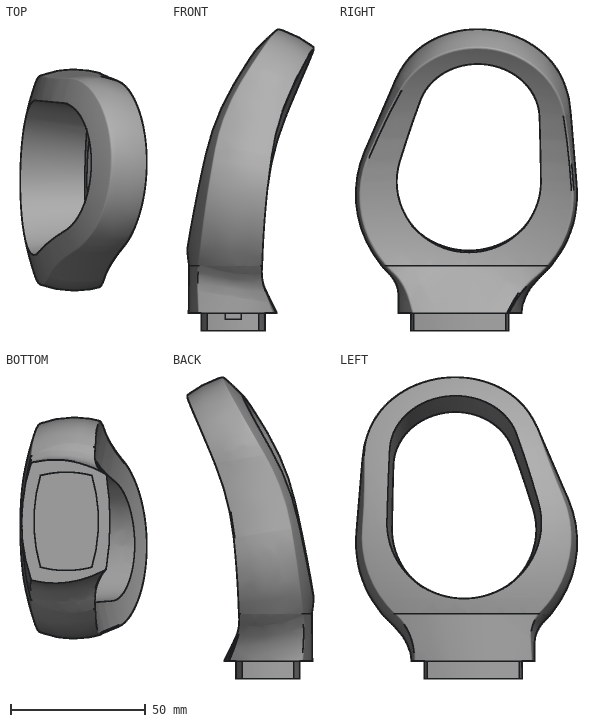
import cadquery as cq
import math


CROWN_Y, CROWN_Z, CROWN_R = 7.2, 73.8, 34.2
BELLY_Y, BELLY_Z, BELLY_R = 2.5, 44.7, 41.2
NECK_HALF_WIDTH = 22.9
PLUS_Y_NECK_R = 20.8
MINUS_Y_NECK_R = 12.1
NECK_OVERRUN = 18.0

RIM_ARC_R = 33.7
RIM_TILT = 9.5
RIM_BASE_X = -4.5
RIM_OFFSETS = (-19.1, -9.5, 0.0, 12.4, 24.7)
RIM_FILLET = 0.7

FRONT_R, FRONT_X, FRONT_Z, FRONT_DISH_R = 96.8, 79.3, 31.9, 110.9
BACK_R, BACK_X, BACK_Z, BACK_DISH_R = 99.8, 106.1, 33.9, 137.1
BARREL_HALF_WIDTH = 50.6
KEEP_SIZE = 224.7

NECK_TOP_Z = 17.5
BASE_FRONT_X, BASE_FRONT_EDGE_X = -16.6, -12.6
BASE_BACK_X, BASE_BACK_EDGE_X = 16.3, 13.9
SLAB_HALF_WIDTH = 33.7

HOLE_FRONT_X, HOLE_BACK_X = -19.1, 30.3
HOLE_FRONT_TOP, HOLE_FRONT_BOTTOM = (7.1, 83.9, 25.5), (3.4, 52.8, 29.4)
HOLE_BACK_TOP, HOLE_BACK_BOTTOM = (7.0, 69.2, 21.6), (3.4, 46.7, 24.9)

TAB_DEPTH = 6.6
TAB_HALF_WIDTH, TAB_HALF_DEPTH = 18.3, 12.0
TAB_CORNER_X, TAB_CORNER_Y = 9.5, 17.1
NOTCH_W, NOTCH_H, NOTCH_DEPTH = 5.8, 2.4, 0.6

TOUCHING = 0.001


def polar(center, radius, angle):
    return (center[0] + radius * math.cos(angle), center[1] + radius * math.sin(angle))


def sagitta(radius, reach):
    return radius - math.sqrt(radius**2 - reach**2)


def tangent_angle(upper, upper_r, lower, lower_r, side):
    """Direction of the radii to the outer tangent of two circles: side -1 for +Y, 1 for -Y."""
    dy, dz = upper[0] - lower[0], upper[1] - lower[1]
    return math.atan2(dz, dy) + side * math.acos((lower_r - upper_r) / math.hypot(dy, dz))


def neck_arc(side, radius, half_width, belly_r):
    """Concave arc from the belly to the side of the neck, and the angle at which it starts."""
    center_y = side * (half_width + radius)
    center_z = BELLY_Z - math.sqrt((belly_r + radius) ** 2 - (center_y - BELLY_Y) ** 2)
    start = math.atan2(BELLY_Z - center_z, BELLY_Y - center_y)
    end = math.pi if side > 0 else 0.0
    middle = (start + end) / 2
    points = [polar((center_y, center_z), radius, angle) for angle in (start, middle, end)]
    return points, start


def rim_outline(plane, inset):
    """Outline of the grip, moved inwards by the inset."""
    crown, crown_r = (CROWN_Y, CROWN_Z), CROWN_R - inset
    belly, belly_r = (BELLY_Y, BELLY_Z), BELLY_R - inset
    half_width = NECK_HALF_WIDTH - inset
    plus_y = tangent_angle(crown, crown_r, belly, belly_r, -1)
    minus_y = tangent_angle(crown, crown_r, belly, belly_r, 1)
    plus_neck, plus_start = neck_arc(1, PLUS_Y_NECK_R + inset, half_width, belly_r)
    minus_neck, minus_start = neck_arc(-1, MINUS_Y_NECK_R + inset, half_width, belly_r)
    plus_belly = (plus_y + plus_start - math.pi) / 2
    minus_belly = (minus_y + minus_start + math.pi) / 2
    return (
        cq.Workplane(plane)
        .moveTo(*polar(crown, crown_r, plus_y))
        .threePointArc(polar(crown, crown_r, (plus_y + minus_y) / 2), polar(crown, crown_r, minus_y))
        .lineTo(*polar(belly, belly_r, minus_y))
        .threePointArc(polar(belly, belly_r, minus_belly), minus_neck[0])
        .threePointArc(minus_neck[1], minus_neck[2])
        .lineTo(-half_width, -NECK_OVERRUN)
        .lineTo(half_width, -NECK_OVERRUN)
        .lineTo(*plus_neck[2])
        .threePointArc(plus_neck[1], plus_neck[0])
        .threePointArc(polar(belly, belly_r, plus_belly), polar(belly, belly_r, plus_y))
        .close()
        .wire()
        .val()
    )


def rim_body():
    """Solid with the rounded rim as its side, deeper than the grip in front and behind."""
    tilt = math.radians(RIM_TILT)
    normal = cq.Vector(math.cos(tilt), 0, -math.sin(tilt))
    wires = []
    for offset in RIM_OFFSETS:
        plane = cq.Plane(cq.Vector(RIM_BASE_X, 0, 0) + normal * offset, (0, 1, 0), normal)
        inset = offset**2 / (2 * RIM_ARC_R)
        wires.append(rim_outline(plane, inset))
    return cq.Workplane(cq.Solid.makeLoft(wires))


def barrel(center_x, center_z, radius, dish_r):
    """Round solid about an axis along Y, whose side is crowned to the dish radius."""
    end_r = radius - sagitta(dish_r, BARREL_HALF_WIDTH)
    return (
        cq.Workplane("XY", origin=(center_x, BELLY_Y, center_z))
        .moveTo(0, -BARREL_HALF_WIDTH)
        .lineTo(-end_r, -BARREL_HALF_WIDTH)
        .threePointArc((-radius, 0), (-end_r, BARREL_HALF_WIDTH))
        .lineTo(0, BARREL_HALF_WIDTH)
        .close()
        .revolve(360, (0, 0, 0), (0, 1, 0))
    )


def dished_slab():
    """Space between the dished front and back faces, above the neck."""
    front = barrel(FRONT_X, FRONT_Z, FRONT_R, FRONT_DISH_R)
    back = barrel(BACK_X, BACK_Z, BACK_R, BACK_DISH_R)
    above_neck = cq.Workplane("XY", origin=(0, 0, NECK_TOP_Z)).box(
        KEEP_SIZE, KEEP_SIZE, KEEP_SIZE, centered=(True, True, False)
    )
    return front.cut(back).intersect(above_neck)


def slab_section(center_y, z, front_x, front_edge_x, back_x, back_edge_x):
    """Level outline with arcs through the middle of the front and of the back."""
    return (
        cq.Workplane("XY", origin=(0, center_y, z))
        .moveTo(front_edge_x, -SLAB_HALF_WIDTH)
        .threePointArc((front_x, 0), (front_edge_x, SLAB_HALF_WIDTH))
        .lineTo(back_edge_x, SLAB_HALF_WIDTH)
        .threePointArc((back_x, 0), (back_edge_x, -SLAB_HALF_WIDTH))
        .close()
        .wire()
        .val()
    )


def slab_edge_x(middle_x, neck_side_x):
    """X at the side of the slab, on the arc given by its middle and the side of the neck."""
    sag = neck_side_x - middle_x
    radius = (NECK_HALF_WIDTH**2 + sag**2) / (2 * abs(sag))
    return middle_x + math.copysign(sagitta(radius, SLAB_HALF_WIDTH), sag)


def neck_slab():
    """Space between the front and back of the neck: dished at its top, lens-shaped at its base."""
    front_x = FRONT_X - math.sqrt(FRONT_R**2 - (FRONT_Z - NECK_TOP_Z) ** 2)
    back_x = BACK_X - math.sqrt(BACK_R**2 - (BACK_Z - NECK_TOP_Z) ** 2)
    top = slab_section(
        BELLY_Y,
        NECK_TOP_Z,
        front_x,
        front_x + sagitta(FRONT_DISH_R, SLAB_HALF_WIDTH),
        back_x,
        back_x + sagitta(BACK_DISH_R, SLAB_HALF_WIDTH),
    )
    base = slab_section(
        0,
        0,
        BASE_FRONT_X,
        slab_edge_x(BASE_FRONT_X, BASE_FRONT_EDGE_X),
        BASE_BACK_X,
        slab_edge_x(BASE_BACK_X, BASE_BACK_EDGE_X),
    )
    return cq.Workplane(cq.Solid.makeLoft([top, base], True))


def rounded_part(slab):
    """Part of the grip inside the slab, with its front and back rim edges rounded."""
    part = rim_body().intersect(slab)
    surface = slab.val().Shells()[0]
    rim_edges = []
    for edge in part.edges().vals():
        middle = cq.Vertex.makeVertex(*edge.positionAt(0.5).toTuple())
        is_level = edge.BoundingBox().zlen < TOUCHING
        if surface.distance(middle) < TOUCHING and not is_level:
            rim_edges.append(edge)
    return part.newObject(rim_edges).fillet(RIM_FILLET)


def hole_outline(x, top, bottom):
    """Two end arcs joined by their outer tangents."""
    *top_center, top_r = top
    *bottom_center, bottom_r = bottom
    plus_y = tangent_angle(top_center, top_r, bottom_center, bottom_r, -1)
    minus_y = tangent_angle(top_center, top_r, bottom_center, bottom_r, 1)
    upwards = (plus_y + minus_y) / 2
    return (
        cq.Workplane("YZ", origin=(x, 0, 0))
        .moveTo(*polar(top_center, top_r, plus_y))
        .threePointArc(polar(top_center, top_r, upwards), polar(top_center, top_r, minus_y))
        .lineTo(*polar(bottom_center, bottom_r, minus_y))
        .threePointArc(
            polar(bottom_center, bottom_r, upwards + math.pi),
            polar(bottom_center, bottom_r, plus_y),
        )
        .close()
        .wire()
        .val()
    )


def hole():
    front = hole_outline(HOLE_FRONT_X, HOLE_FRONT_TOP, HOLE_FRONT_BOTTOM)
    back = hole_outline(HOLE_BACK_X, HOLE_BACK_TOP, HOLE_BACK_BOTTOM)
    return cq.Workplane(cq.Solid.makeLoft([front, back], True))


def tab():
    """Tab with four bowed sides and a shallow notch under the shoulder on the -Y side."""
    body = (
        cq.Workplane("XY", origin=(0, 0, -TAB_DEPTH))
        .moveTo(-TAB_CORNER_X, -TAB_CORNER_Y)
        .threePointArc((-TAB_HALF_DEPTH, 0), (-TAB_CORNER_X, TAB_CORNER_Y))
        .threePointArc((0, TAB_HALF_WIDTH), (TAB_CORNER_X, TAB_CORNER_Y))
        .threePointArc((TAB_HALF_DEPTH, 0), (TAB_CORNER_X, -TAB_CORNER_Y))
        .threePointArc((0, -TAB_HALF_WIDTH), (-TAB_CORNER_X, -TAB_CORNER_Y))
        .close()
        .extrude(TAB_DEPTH)
    )
    notch = cq.Workplane("XY", origin=(0, -TAB_HALF_WIDTH, -NOTCH_H / 2)).box(
        NOTCH_W, 2 * NOTCH_DEPTH, NOTCH_H
    )
    return body.cut(notch)


loop = rounded_part(dished_slab())
neck = rounded_part(neck_slab())
result = loop.union(neck).cut(hole()).union(tab())